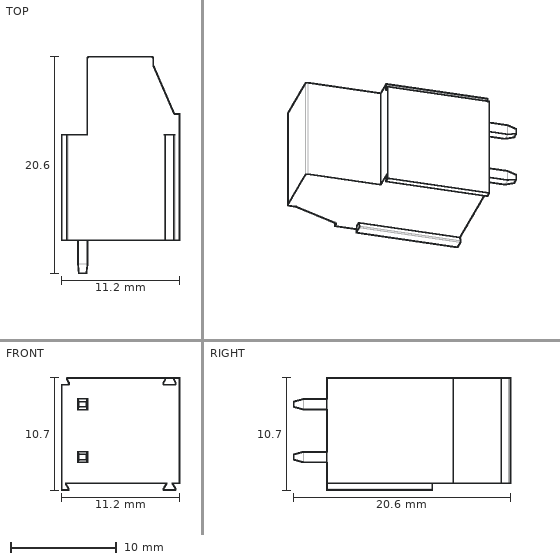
import cadquery as cq
import math


width = 11.2
total_length = 20.55
total_height = 10.65
pin_length = 3.15
shoulder_y = 13.15
tower_left_x = 2.42
tower_right_x = 8.71
tower_corner_radius = 0.2
slope_top_y = 19.69
slope_bottom_x = 10.69
slope_bottom_y = 15.12

dovetail_height = 0.64
dovetail_angle = 60.0
rail_neck_width = 0.58
groove_clearance = 0.03
groove_neck_width = rail_neck_width + 2 * groove_clearance
rail_radius = 0.08
groove_radius = 0.1
edge_dovetail_x = 0.1
inner_dovetail_x = 10.23
dovetail_centers_x = (edge_dovetail_x, inner_dovetail_x)

pole_count = 2
pin_width = 0.92
pin_height = 1.0
pin_tip_width = 0.75
pin_tip_height = 0.51
pin_taper_length = 0.9
pin_x = 2.01
pin_tip_x = 2.0

front_y = pin_length
body_height = total_height - dovetail_height
body_bottom_z = dovetail_height
groove_floor_z = total_height - dovetail_height
pole_pitch = body_height / pole_count
pin_centers_z = [body_bottom_z + pole_pitch * (pole + 0.5) for pole in range(pole_count)]
dovetail_length = shoulder_y - front_y


def make_housing():
    """Plan outline of the block extruded over the body height."""
    outline = [
        (0, front_y),
        (width, front_y),
        (width, slope_bottom_y),
        (slope_bottom_x, slope_bottom_y),
        (tower_right_x, slope_top_y),
        (tower_right_x, total_length),
        (tower_left_x, total_length),
        (tower_left_x, shoulder_y),
        (0, shoulder_y),
    ]
    block = cq.Workplane("XY").workplane(offset=body_bottom_z).polyline(outline).close().extrude(body_height)
    return block.edges("|Z and >Y").fillet(tower_corner_radius)


def make_dovetail(center_x, neck_width, floor_z, radius):
    """Trapezoidal bar, wide at floor_z and narrow at the neck one dovetail height above it."""
    neck_half = neck_width / 2
    floor_half = neck_half + dovetail_height / math.tan(math.radians(dovetail_angle))
    neck_z = floor_z + dovetail_height
    outline = [
        (center_x - floor_half, floor_z),
        (center_x + floor_half, floor_z),
        (center_x + neck_half, neck_z),
        (center_x - neck_half, neck_z),
    ]
    bar = cq.Workplane("XZ", origin=(0, front_y, 0)).polyline(outline).close().extrude(-dovetail_length)
    return bar.edges("|Y and <Z").fillet(radius)


def make_pin(center_z):
    """Rectangular pin with a tapered tip pointing to -Y."""
    shank_length = pin_length - pin_taper_length
    base = cq.Workplane("XZ", origin=(pin_x, front_y, center_z))
    shank = base.rect(pin_width, pin_height).extrude(shank_length)
    tip = (
        base.workplane(offset=shank_length)
        .rect(pin_width, pin_height)
        .workplane(offset=pin_taper_length)
        .center(pin_tip_x - pin_x, 0)
        .rect(pin_tip_width, pin_tip_height)
        .loft(combine=True)
    )
    return shank.union(tip)


def select_groove_lips(body):
    """Long top edges of the grooves, where the undercut walls meet the top face."""
    groove_neck_half = groove_neck_width / 2
    lip_xs = [
        edge_dovetail_x + groove_neck_half,
        inner_dovetail_x - groove_neck_half,
        inner_dovetail_x + groove_neck_half,
    ]
    middle_y = (front_y + shoulder_y) / 2
    lips = body.edges(cq.selectors.NearestToPointSelector((lip_xs[0], middle_y, total_height)))
    for lip_x in lip_xs[1:]:
        lips = lips.add(body.edges(cq.selectors.NearestToPointSelector((lip_x, middle_y, total_height))))
    return lips


result = make_housing()

left_strip = cq.Workplane("XY").box(
    edge_dovetail_x, dovetail_length, dovetail_height, centered=False
).translate((0, front_y, groove_floor_z))
result = result.cut(left_strip)
for center_x in dovetail_centers_x:
    groove = make_dovetail(center_x, groove_neck_width, groove_floor_z, groove_radius)
    result = result.cut(groove)

result = select_groove_lips(result).fillet(groove_radius)

beyond_left_side = cq.Workplane("XY").box(
    width, total_length, total_height, centered=False
).translate((-width, 0, 0))
for center_x in dovetail_centers_x:
    rail = make_dovetail(center_x, rail_neck_width, 0, rail_radius).cut(beyond_left_side)
    result = result.union(rail)

for center_z in pin_centers_z:
    result = result.union(make_pin(center_z))